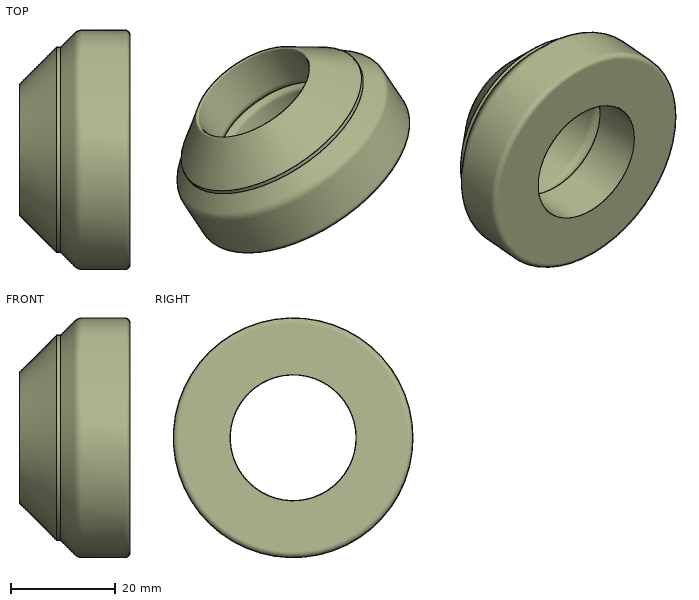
import cadquery as cq
import math

total_length = 21.2
outer_radius = 23.0
bore_radius = 12.05
edge_round = 1.0
cone_ring_round = 1.5
base_ring_round = 1.0
lip_round = 0.35
shoulder_start = 7.15
joint_x = 7.9
seat_tilt = 19.5
front_round = 2.0

diagonal = math.sqrt(0.5)


def arc_point(center, radius, angle):
    """Point (x, radial height) on a circle at an angle in degrees."""
    turn = math.radians(angle)
    return (center[0] + radius * math.cos(turn), center[1] + radius * math.sin(turn))


lip_center = (lip_round, bore_radius + lip_round)
cone_start = arc_point(lip_center, lip_round, 135)
shoulder_radius = cone_start[1] + shoulder_start - cone_start[0]


def seat_offset_x(radius, offset):
    """X of the point at a radius that lies an offset behind the seat, square to it."""
    tilt = math.radians(seat_tilt)
    return joint_x + (shoulder_radius - radius) * math.tan(tilt) + offset / math.cos(tilt)


def revolve_about_x(profile):
    return profile.close().revolve(360, (0, 0, 0), (1, 0, 0))


def make_cone_ring():
    """Front ring: cone, narrow cylindrical shoulder and rounded bore ends."""
    inner_height = bore_radius + cone_ring_round
    inner_center = (seat_offset_x(inner_height, -cone_ring_round), inner_height)
    inner_middle = arc_point(inner_center, cone_ring_round, (seat_tilt - 90) / 2)
    seat_inner_edge = arc_point(inner_center, cone_ring_round, seat_tilt)
    profile = (
        cq.Workplane("XY")
        .moveTo(lip_round, bore_radius)
        .threePointArc(arc_point(lip_center, lip_round, 202.5), cone_start)
        .lineTo(shoulder_start, shoulder_radius)
        .lineTo(joint_x, shoulder_radius)
        .lineTo(*seat_inner_edge)
        .threePointArc(inner_middle, (inner_center[0], bore_radius))
    )
    return revolve_about_x(profile)


def make_base_ring():
    """Rear ring: short cone, rounded cylindrical outside and a plain rear bore."""
    inner_height = bore_radius + base_ring_round
    inner_center = (seat_offset_x(inner_height, base_ring_round), inner_height)
    inner_middle = arc_point(inner_center, base_ring_round, (seat_tilt + 450) / 2)
    seat_inner_edge = arc_point(inner_center, base_ring_round, seat_tilt + 180)
    round_height = outer_radius - front_round
    cone_end_radius = round_height + front_round * diagonal
    cone_end_x = joint_x + cone_end_radius - shoulder_radius
    front_center = (cone_end_x + front_round * diagonal, round_height)
    rear_center = (total_length - edge_round, outer_radius - edge_round)
    profile = (
        cq.Workplane("XY")
        .moveTo(inner_center[0], bore_radius)
        .threePointArc(inner_middle, seat_inner_edge)
        .lineTo(joint_x, shoulder_radius)
        .lineTo(cone_end_x, cone_end_radius)
        .threePointArc(arc_point(front_center, front_round, 112.5), (front_center[0], outer_radius))
        .lineTo(rear_center[0], outer_radius)
        .threePointArc(arc_point(rear_center, edge_round, 45), (total_length, rear_center[1]))
        .lineTo(total_length, bore_radius)
    )
    return revolve_about_x(profile)


cone_ring = make_cone_ring()
base_ring = make_base_ring()

result = cq.Compound.makeCompound([cone_ring.val(), base_ring.val()])